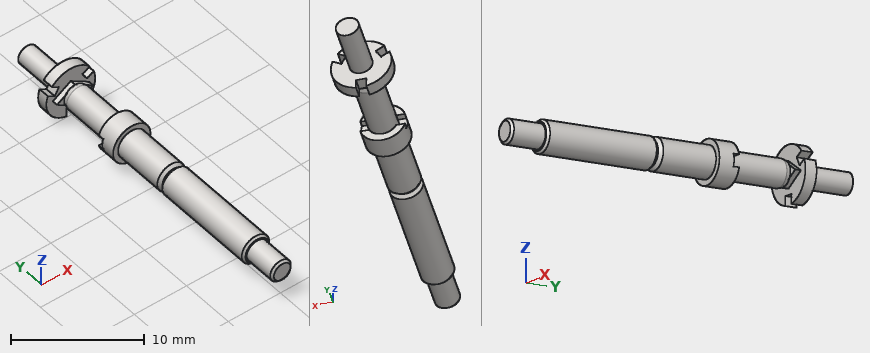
import cadquery as cq

COLLAR_LENGTH = 1.8
STEM_LENGTH = 5.0
TONGUE_LENGTH = 0.5
FLANGE_LENGTH = 1.0
REAR_PIN_LENGTH = 4.2
BARREL_LENGTH = 15.0
TIP_LENGTH = 3.0

COLLAR_REAR = COLLAR_LENGTH
STEM_REAR = COLLAR_REAR + STEM_LENGTH
FLANGE_FRONT = STEM_REAR + TONGUE_LENGTH
FLANGE_REAR = FLANGE_FRONT + FLANGE_LENGTH
BARREL_FRONT = -BARREL_LENGTH
TIP_FRONT = BARREL_FRONT - TIP_LENGTH

TIP_RADIUS = 1.0
BARREL_RADIUS = 1.325
COLLAR_RADIUS = 1.8
STEM_RADIUS = 1.15
FLANGE_RADIUS = 2.35
REAR_PIN_RADIUS = 0.9

TIP_CHAMFER = 0.2
BARREL_CHAMFER = 0.2
STEM_TAPER_LENGTH = 0.4
STEM_TAPER_DEPTH = 0.1
GROOVE_CENTER = -5.0
GROOVE_DEPTH = 0.25
GROOVE_HALF_WIDTH = 0.3

COLLAR_SLOT_WIDTH = 1.0
COLLAR_SLOT_DEPTH = 0.5

TONGUE_HALF_WIDTH = 1.73
TONGUE_HALF_HEIGHT = 1.08

NOTCH_COUNT = 3
NOTCH_WIDTH = 0.8
NOTCH_FLOOR_RADIUS = 1.55


def cylinder(radius, front, rear):
    """Cylinder about the Y axis between two stations."""
    return cq.Workplane("XZ", origin=(0, rear, 0)).circle(radius).extrude(rear - front)


def make_tip():
    tip = cylinder(TIP_RADIUS, TIP_FRONT, BARREL_FRONT)
    return tip.faces("<Y").chamfer(TIP_CHAMFER)


def make_barrel():
    barrel = cylinder(BARREL_RADIUS, BARREL_FRONT, 0)
    barrel = barrel.faces("<Y").chamfer(BARREL_CHAMFER)
    groove = (
        cq.Workplane("XY")
        .moveTo(BARREL_RADIUS, GROOVE_CENTER - GROOVE_HALF_WIDTH)
        .lineTo(BARREL_RADIUS - GROOVE_DEPTH, GROOVE_CENTER)
        .lineTo(BARREL_RADIUS, GROOVE_CENTER + GROOVE_HALF_WIDTH)
        .close()
        .revolve(360, (0, 0, 0), (0, 1, 0))
    )
    return barrel.cut(groove)


def make_collar():
    collar = cylinder(COLLAR_RADIUS, 0, COLLAR_REAR)
    slot = cq.Workplane("XY").box(2 * COLLAR_RADIUS, COLLAR_SLOT_DEPTH, COLLAR_SLOT_WIDTH)
    return collar.cut(slot.translate((0, COLLAR_REAR - COLLAR_SLOT_DEPTH / 2, 0)))


def make_stem():
    stem = cylinder(STEM_RADIUS, 0, STEM_REAR)
    return stem.faces(">Y").chamfer(STEM_TAPER_LENGTH, STEM_TAPER_DEPTH)


def make_tongue():
    return (
        cq.Workplane("XZ", origin=(0, FLANGE_FRONT, 0))
        .polyline(
            [
                (TONGUE_HALF_WIDTH, 0),
                (0, TONGUE_HALF_HEIGHT),
                (-TONGUE_HALF_WIDTH, 0),
                (0, -TONGUE_HALF_HEIGHT),
            ]
        )
        .close()
        .extrude(TONGUE_LENGTH)
    )


def make_flange():
    flange = cylinder(FLANGE_RADIUS, FLANGE_FRONT, FLANGE_REAR)
    notch = (
        cq.Workplane("XY")
        .box(NOTCH_WIDTH, FLANGE_LENGTH, FLANGE_RADIUS)
        .translate((0, (FLANGE_FRONT + FLANGE_REAR) / 2, -NOTCH_FLOOR_RADIUS - FLANGE_RADIUS / 2))
    )
    for index in range(NOTCH_COUNT):
        angle = index * 360 / NOTCH_COUNT
        flange = flange.cut(notch.rotate((0, 0, 0), (0, 1, 0), angle))
    return flange


def make_rear_pin():
    return cylinder(REAR_PIN_RADIUS, FLANGE_REAR, FLANGE_REAR + REAR_PIN_LENGTH)


result = (
    make_barrel()
    .union(make_tip())
    .union(make_collar())
    .union(make_stem())
    .union(make_tongue())
    .union(make_flange())
    .union(make_rear_pin())
)